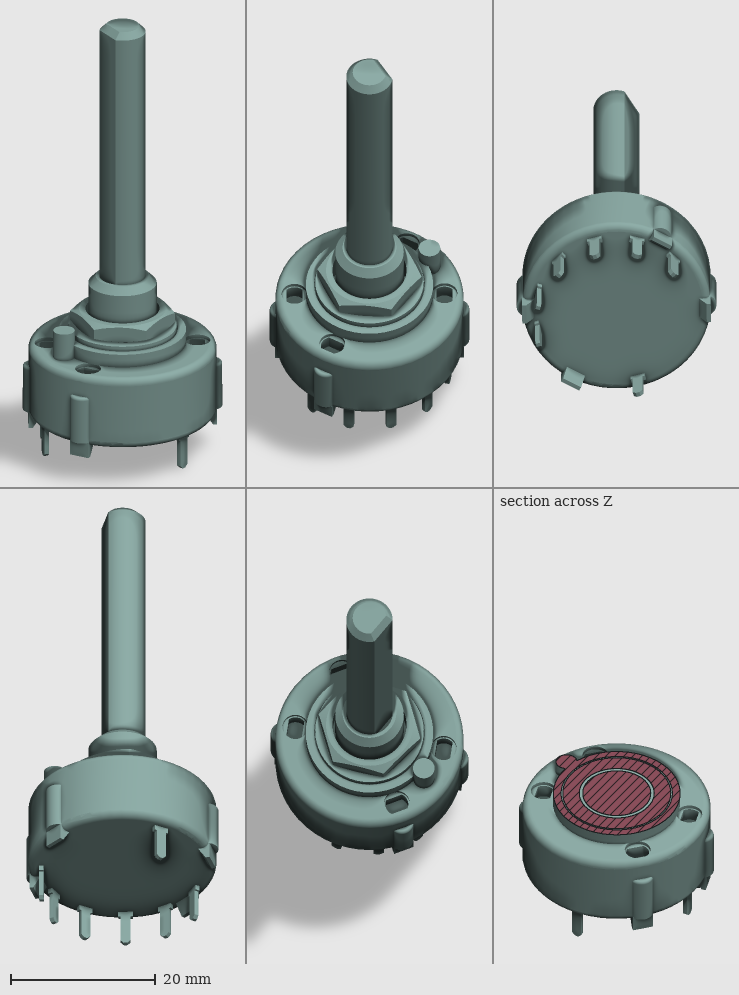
import cadquery as cq

total_height = 63.6
body_bottom = 5.15
body_top = 15.7
boss_top = 17.6
washer_top = 18.25
nut_top = 20.7
bushing_top = 25.7

body_diameter = 26.0
body_fillet = 1.0
boss_diameter = 17.6

recess_diameter = 15.3
recess_depth = 0.3
washer_diameter = 15.0
washer_bore = 10.3

nut_bore = 10.25
nut_corner_diameter = 14.5
nut_face_diameter = 12.0
nut_bevel_height = 0.6
nut_turn = -5.7

bushing_diameter = 9.5
bushing_chamfer = 1.0
shaft_diameter = 6.4
flat_offset = 2.5
flat_run_into_bushing = 1.3
shaft_chamfer = 0.9

post_diameter = 3.0
post_offset = 9.6
post_top = 19.7

clip_angles = [60, 120, 240, 300]
rib_radius = 1.65
rib_offset = 12.15
rib_bottom = 5.8
rib_top = 12.6
rib_edge_fillet = 0.4
foot_width = 2.85
foot_face_offset = 13.05
foot_bottom = 3.5
foot_tip_depth = 0.6
foot_root_depth = 1.65

window_offset = 10.35
window_diameter = 3.55
window_depth = 0.5
slot_diameter = 3.2
slot_width = 2.15
slot_depth = 1.9

pin_angles = [15, 105, 135, 165, 195, 225, 255]
pin_offset = 11.2
pin_width = 1.4
pin_thickness = 0.65
pin_tip_chamfer = 0.45
shoulder_width = 2.05
shoulder_bottom = 4.4


def cylinder(diameter, bottom, top):
    return cq.Workplane("XY").workplane(offset=bottom).circle(diameter / 2).extrude(top - bottom)


def at_angle(shape, angle):
    return shape.rotate((0, 0, 0), (0, 0, 1), angle)


def make_housing():
    body = cylinder(body_diameter, body_bottom, body_top).edges().fillet(body_fillet)
    boss = cylinder(boss_diameter, body_top, boss_top)
    recess = cylinder(recess_diameter, boss_top - recess_depth, boss_top)
    post = cylinder(post_diameter, body_top, post_top).translate((0, -post_offset, 0))
    return body.union(boss).cut(recess).union(post)


def make_washer():
    recess_floor = boss_top - recess_depth
    washer = cylinder(washer_diameter, recess_floor, washer_top)
    return washer.cut(cylinder(washer_bore, recess_floor, washer_top))


def make_nut():
    hexagon = (
        cq.Workplane("XY")
        .workplane(offset=washer_top)
        .polygon(6, nut_corner_diameter)
        .extrude(nut_top - washer_top)
    )
    corner_radius = nut_corner_diameter / 2
    bevelled_disc = (
        cq.Workplane("XZ")
        .moveTo(0, washer_top)
        .lineTo(nut_face_diameter / 2, washer_top)
        .lineTo(corner_radius, washer_top + nut_bevel_height)
        .lineTo(corner_radius, nut_top - nut_bevel_height)
        .lineTo(nut_face_diameter / 2, nut_top)
        .lineTo(0, nut_top)
        .close()
        .revolve(360, (0, 0), (0, 1))
    )
    nut = hexagon.intersect(bevelled_disc).cut(cylinder(nut_bore, washer_top, nut_top))
    return at_angle(nut, nut_turn)


def make_bushing_and_shaft():
    bushing = cylinder(bushing_diameter, body_top, bushing_top)
    bushing = bushing.faces(">Z").chamfer(bushing_chamfer)
    flat_bottom = bushing_top - flat_run_into_bushing
    shaft_end = cylinder(shaft_diameter, flat_bottom, total_height)
    shaft_radius = shaft_diameter / 2
    flat_trim = (
        cq.Workplane("YZ")
        .moveTo(-shaft_radius, flat_bottom)
        .lineTo(-flat_offset, flat_bottom)
        .lineTo(-flat_offset, total_height - shaft_chamfer)
        .lineTo(-flat_offset + shaft_chamfer, total_height)
        .lineTo(-shaft_radius, total_height)
        .close()
        .extrude(shaft_radius, both=True)
    )
    shaft = shaft_end.faces(">Z").chamfer(shaft_chamfer).cut(flat_trim)
    return bushing.cut(shaft_end).union(shaft)


def make_clip():
    """Half-round rib on the rim with a tapered square foot below, on the +X side."""
    rib = cylinder(2 * rib_radius, rib_bottom, rib_top).faces(">Z").fillet(rib_edge_fillet)
    rib = rib.translate((rib_offset, 0, 0))
    foot = (
        cq.Workplane("XZ")
        .moveTo(foot_face_offset, rib_bottom)
        .lineTo(foot_face_offset, foot_bottom)
        .lineTo(foot_face_offset - foot_tip_depth, foot_bottom)
        .lineTo(foot_face_offset - foot_root_depth, body_bottom)
        .lineTo(foot_face_offset - foot_root_depth, rib_bottom)
        .close()
        .extrude(foot_width / 2, both=True)
    )
    return rib.union(foot)


def make_window():
    """Round counterbore with a narrower round-ended slot in its floor, on the +X side."""
    ledge = body_top - window_depth
    slot_bottom = ledge - slot_depth
    opening = cylinder(window_diameter, ledge, body_top)
    slot_sides = (
        cq.Workplane("XY")
        .workplane(offset=slot_bottom)
        .rect(slot_width, slot_diameter)
        .extrude(slot_depth)
    )
    slot = cylinder(slot_diameter, slot_bottom, ledge).intersect(slot_sides)
    return opening.union(slot).translate((window_offset, 0, 0))


def make_pin():
    """Flat pin with a wide shoulder under the housing, on the +X side."""
    root = body_bottom + body_fillet
    blade = cq.Workplane("XY").rect(pin_thickness, pin_width).extrude(root)
    blade = blade.faces("<Z").edges("|X").chamfer(pin_tip_chamfer)
    shoulder = (
        cq.Workplane("XY")
        .workplane(offset=shoulder_bottom)
        .rect(pin_thickness, shoulder_width)
        .extrude(root - shoulder_bottom)
    )
    return blade.union(shoulder).translate((pin_offset, 0, 0))


result = make_housing().union(make_washer()).union(make_nut()).union(make_bushing_and_shaft())
for clip_angle in clip_angles:
    result = result.cut(at_angle(make_window(), clip_angle))
    result = result.union(at_angle(make_clip(), clip_angle))
for pin_angle in pin_angles:
    result = result.union(at_angle(make_pin(), pin_angle))